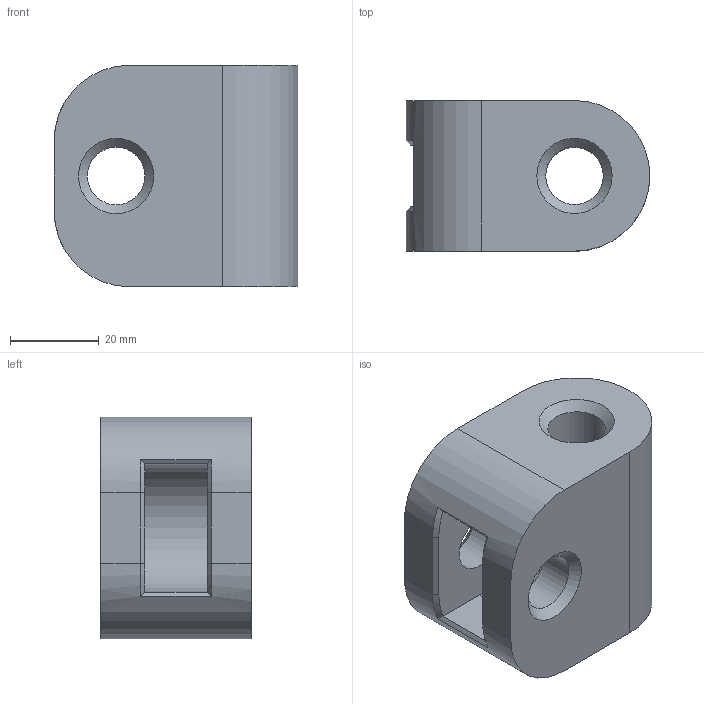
import cadquery as cq

length = 55.0
width = 34.0
height = 50.0

bore_diameter = 13.0
countersink_diameter = 17.0
countersink_depth = 2.0
cross_bore_x = 14.0

end_radius = width / 2
vertical_bore_x = length - end_radius

slot_width = 14.0
slot_height = 29.0
slot_radius = slot_height / 2
slot_edge_chamfer = 1.0


def make_plan_prism():
    """Vertical prism with a square end at X = 0 and a half-round end at X = length."""
    return (
        cq.Workplane("XY", origin=(0, 0, -height / 2))
        .moveTo(0, -width / 2)
        .lineTo(vertical_bore_x, -width / 2)
        .threePointArc((length, 0), (vertical_bore_x, width / 2))
        .lineTo(0, width / 2)
        .close()
        .extrude(height)
    )


def make_body():
    """Block with two rounded corners in side profile and a half-round end in plan."""
    block = cq.Workplane("XY").box(length, width, height, centered=(False, True, True))
    return block.edges("<X and |Y").fillet(end_radius).intersect(make_plan_prism())


def make_slot():
    """Slot cutter: straight flanks from X = 0, then a half round about the cross bore."""
    return (
        cq.Workplane("XZ", origin=(0, slot_width / 2, 0))
        .moveTo(0, -slot_height / 2)
        .lineTo(cross_bore_x, -slot_height / 2)
        .threePointArc((cross_bore_x + slot_radius, 0), (cross_bore_x, slot_height / 2))
        .lineTo(0, slot_height / 2)
        .close()
        .extrude(slot_width)
    )


def chamfer_slot_mouth(body):
    """Break every edge where the slot meets the outer surface of the rounded end."""
    half_width = slot_width / 2 + slot_edge_chamfer
    half_height = slot_height / 2 + slot_edge_chamfer
    mouth_box = cq.selectors.BoxSelector(
        (-slot_edge_chamfer, -half_width, -half_height),
        (cross_bore_x, half_width, half_height),
    )
    along_x = cq.selectors.ParallelDirSelector(cq.Vector(1, 0, 0))
    return body.edges(mouth_box - along_x).chamfer(slot_edge_chamfer)


def make_countersunk_bore(thickness):
    """Bore cutter about Z through the given thickness, countersunk at both ends."""
    half = thickness / 2
    bore_radius = bore_diameter / 2
    countersink_radius = countersink_diameter / 2
    return (
        cq.Workplane("XZ")
        .moveTo(0, -half)
        .lineTo(countersink_radius, -half)
        .lineTo(bore_radius, -half + countersink_depth)
        .lineTo(bore_radius, half - countersink_depth)
        .lineTo(countersink_radius, half)
        .lineTo(0, half)
        .close()
        .revolve(360, (0, 0, 0), (0, 1, 0))
    )


cross_bore = (
    make_countersunk_bore(width)
    .rotate((0, 0, 0), (1, 0, 0), 90)
    .translate((cross_bore_x, 0, 0))
)
vertical_bore = make_countersunk_bore(height).translate((vertical_bore_x, 0, 0))

slotted_body = chamfer_slot_mouth(make_body().cut(make_slot()))
result = slotted_body.cut(cross_bore).cut(vertical_bore)